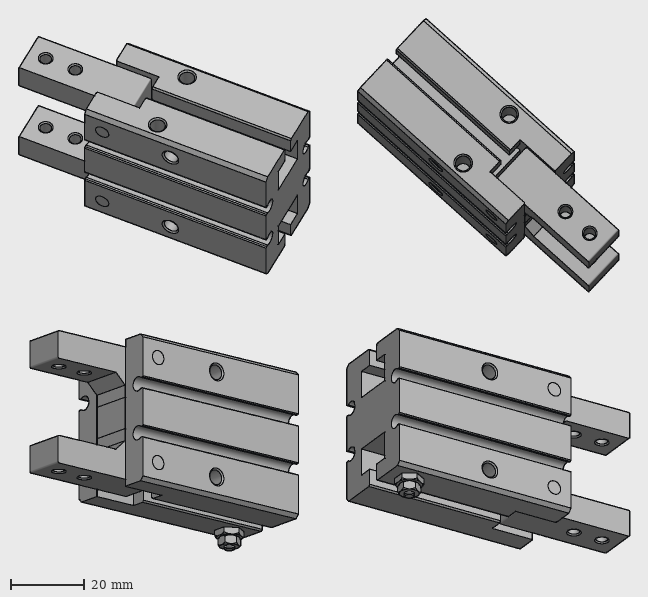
import cadquery as cq
import math

OVERALL_LENGTH = 78.7

BODY_LENGTH = 55.0
BODY_WIDTH = 27.6
BODY_HEIGHT = 42.0
BODY_CHAMFER = 1.1

RECESS_DEPTH = 13.0
RECESS_WIDTH = 12.1
RECESS_MOUTH_CHAMFER = 0.2

WEB_HEIGHT = 9.0

SLOT_WIDTH = 3.5
SLOT_CHAMFER = 0.5
SLOT_HEAD_WIDTH = RECESS_WIDTH
SLOT_HEAD_OUTER_Z = 15.9
SLOT_HEAD_INNER_Z = 7.9

GROOVE_DIAMETER = 4.0
GROOVE_Z = 7.0
GROOVE_INSET = 2.3
GROOVE_MOUTH = 3.55
GROOVE_NECK = 3.1
GROOVE_LIP = 0.4

PIVOT_X = 5.35
PIVOT_Z = 15.0
PIN_DIAMETER = 4.0

MOUNT_DRILL = 4.2
MOUNT_MOUTH = 5.0
SIDE_HOLE_X = 26.05
SIDE_HOLE_Z = PIVOT_Z
TOP_HOLE_X = 20.0
TOP_HOLE_Y = 9.3
TOP_HOLE_DEPTH = 10.0

JAW_TIP_X = BODY_LENGTH - OVERALL_LENGTH
JAW_REAR_X = 10.7
JAW_WIDTH = RECESS_WIDTH
FINGER_OUTER_Z = 19.0
FINGER_INNER_Z = 11.0
ROOT_INNER_Z = WEB_HEIGHT / 2
RAMP_LENGTH = 3.2
RAMP_HEIGHT = 3.1
JAW_FILLET = 0.5
JAW_DRILL = 3.2
JAW_MOUTH = 4.0
JAW_HOLES_FROM_TIP = (5.3, 14.25)

FITTING_X = 48.0
FITTING_Y = 7.5
BASE_HEX_FLATS = 7.1
BASE_HEX_HEIGHT = 1.9
NUT_FLATS = 5.5
NUT_HEIGHT = 2.6
HEX_CHAMFER = 0.5
TIP_DIAMETER = 3.0
TIP_HEIGHT = 0.9
TIP_CHAMFER = 0.3


def countersunk_hole(mouth_point, inward, drill, mouth, depth):
    """Round cutter that starts at mouth_point and widens to the mouth diameter there."""
    sink = (mouth - drill) / 2
    start = cq.Vector(*mouth_point)
    direction = cq.Vector(*inward)
    bore = cq.Solid.makeCylinder(drill / 2, depth, start, direction)
    cone = cq.Solid.makeCone(mouth / 2, drill / 2, sink, start, direction)
    return cq.Workplane(bore.fuse(cone))


def pivot_cylinder(z):
    """Cylinder across the full width: a pivot pin, or the bore that holds it."""
    return (
        cq.Workplane("XZ", origin=(PIVOT_X, BODY_WIDTH / 2, z))
        .circle(PIN_DIAMETER / 2)
        .extrude(BODY_WIDTH)
    )


def groove_cutter(side, z):
    """Round groove with a flared mouth, along the whole side wall."""
    face_y = side * BODY_WIDTH / 2
    center_y = face_y - side * GROOVE_INSET
    neck_y = face_y - side * GROOVE_LIP
    mouth = (
        cq.Workplane("YZ")
        .moveTo(face_y, z - GROOVE_MOUTH / 2)
        .lineTo(neck_y, z - GROOVE_NECK / 2)
        .lineTo(center_y, z - GROOVE_NECK / 2)
        .lineTo(center_y, z + GROOVE_NECK / 2)
        .lineTo(neck_y, z + GROOVE_NECK / 2)
        .lineTo(face_y, z + GROOVE_MOUTH / 2)
        .close()
        .extrude(BODY_LENGTH)
    )
    tube = cq.Workplane("YZ").center(center_y, z).circle(GROOVE_DIAMETER / 2).extrude(BODY_LENGTH)
    return mouth.union(tube)


def t_slot_cutter(end):
    """T-slot with chamfered edges in the top (end = 1) or bottom (end = -1) face."""
    face_z = end * BODY_HEIGHT / 2
    half = SLOT_WIDTH / 2
    head_half = SLOT_HEAD_WIDTH / 2
    chamfer_z = face_z - end * SLOT_CHAMFER
    outer_z = end * SLOT_HEAD_OUTER_Z
    inner_z = end * SLOT_HEAD_INNER_Z
    return (
        cq.Workplane("YZ")
        .moveTo(-half - SLOT_CHAMFER, face_z)
        .lineTo(-half, chamfer_z)
        .lineTo(-half, outer_z)
        .lineTo(-head_half, outer_z)
        .lineTo(-head_half, inner_z)
        .lineTo(head_half, inner_z)
        .lineTo(head_half, outer_z)
        .lineTo(half, outer_z)
        .lineTo(half, chamfer_z)
        .lineTo(half + SLOT_CHAMFER, face_z)
        .close()
        .extrude(BODY_LENGTH)
    )


def recess_cutter():
    """Full-height recess, widened by a chamfer along its two front edges."""
    half = RECESS_WIDTH / 2
    mouth_half = half + RECESS_MOUTH_CHAMFER
    return (
        cq.Workplane("XY", origin=(0, 0, -BODY_HEIGHT / 2))
        .moveTo(0, -mouth_half)
        .lineTo(RECESS_MOUTH_CHAMFER, -half)
        .lineTo(RECESS_DEPTH, -half)
        .lineTo(RECESS_DEPTH, half)
        .lineTo(RECESS_MOUTH_CHAMFER, half)
        .lineTo(0, mouth_half)
        .close()
        .extrude(BODY_HEIGHT)
    )


def make_web():
    """Block across the recess, flush with the front face and the rear of the jaws."""
    return cq.Workplane("XY").box(
        JAW_REAR_X, RECESS_WIDTH, WEB_HEIGHT, centered=(False, True, True)
    )


def hexagon(flats, height, top_z, turned_faces):
    """Hexagonal prism below top_z, with corners on Y that are turned conical at turned_faces."""
    corners = flats / math.cos(math.pi / 6)
    prism = (
        cq.Workplane("XY", origin=(FITTING_X, FITTING_Y, top_z))
        .transformed(rotate=(0, 0, 90))
        .polygon(6, corners)
        .extrude(-height)
    )
    turned = (
        cq.Workplane("XY", origin=(FITTING_X, FITTING_Y, top_z))
        .circle(corners / 2)
        .extrude(-height)
        .faces(turned_faces)
        .chamfer(HEX_CHAMFER)
    )
    return prism.intersect(turned)


def make_fitting():
    """Air fitting, one piece with the housing."""
    base_z = -BODY_HEIGHT / 2
    nut_z = base_z - BASE_HEX_HEIGHT
    tip_z = nut_z - NUT_HEIGHT
    tip = (
        cq.Workplane("XY", origin=(FITTING_X, FITTING_Y, tip_z))
        .circle(TIP_DIAMETER / 2)
        .extrude(-TIP_HEIGHT)
        .faces("<Z")
        .chamfer(TIP_CHAMFER)
    )
    base = hexagon(BASE_HEX_FLATS, BASE_HEX_HEIGHT, base_z, "<Z")
    nut = hexagon(NUT_FLATS, NUT_HEIGHT, nut_z, "|Z")
    return base.union(nut).union(tip)


def make_housing():
    """Block with its recess, slots, grooves, holes, web and fitting."""
    block = (
        cq.Workplane("XY")
        .box(BODY_LENGTH, BODY_WIDTH, BODY_HEIGHT, centered=(False, True, True))
        .edges("|X")
        .chamfer(BODY_CHAMFER)
    )
    block = block.cut(recess_cutter())
    side_hole_depth = (BODY_WIDTH - SLOT_HEAD_WIDTH) / 2
    for end in (1, -1):
        block = block.cut(t_slot_cutter(end))
        block = block.cut(pivot_cylinder(end * PIVOT_Z))
        for side in (1, -1):
            block = block.cut(groove_cutter(side, end * GROOVE_Z))
            side_hole = countersunk_hole(
                (SIDE_HOLE_X, side * BODY_WIDTH / 2, end * SIDE_HOLE_Z),
                (0, -side, 0),
                MOUNT_DRILL,
                MOUNT_MOUTH,
                side_hole_depth,
            )
            block = block.cut(side_hole)
    for side in (1, -1):
        top_hole = countersunk_hole(
            (TOP_HOLE_X, side * TOP_HOLE_Y, BODY_HEIGHT / 2),
            (0, 0, -1),
            MOUNT_DRILL,
            MOUNT_MOUTH,
            TOP_HOLE_DEPTH,
        )
        block = block.cut(top_hole)
    return block.union(make_web()).union(make_fitting())


def make_upper_jaw():
    """Jaw with its pivot pin, which reaches both side faces of the housing."""
    jaw = (
        cq.Workplane("XZ", origin=(0, JAW_WIDTH / 2, 0))
        .moveTo(JAW_TIP_X, FINGER_INNER_Z)
        .lineTo(JAW_TIP_X, FINGER_OUTER_Z)
        .lineTo(JAW_REAR_X, FINGER_OUTER_Z)
        .lineTo(JAW_REAR_X, ROOT_INNER_Z)
        .lineTo(0, ROOT_INNER_Z)
        .lineTo(0, FINGER_INNER_Z - RAMP_HEIGHT)
        .lineTo(-RAMP_LENGTH, FINGER_INNER_Z)
        .close()
        .extrude(JAW_WIDTH)
    )
    rear_outer_edge = cq.selectors.NearestToPointSelector((JAW_REAR_X, 0, FINGER_OUTER_Z))
    jaw = jaw.faces("<X").edges("|Y").fillet(JAW_FILLET).edges(rear_outer_edge).fillet(JAW_FILLET)
    jaw = jaw.union(pivot_cylinder(PIVOT_Z))
    finger_thickness = FINGER_OUTER_Z - FINGER_INNER_Z
    for distance in JAW_HOLES_FROM_TIP:
        for mouth_z, inward in ((FINGER_OUTER_Z, -1), (FINGER_INNER_Z, 1)):
            hole = countersunk_hole(
                (JAW_TIP_X + distance, 0, mouth_z),
                (0, 0, inward),
                JAW_DRILL,
                JAW_MOUTH,
                finger_thickness,
            )
            jaw = jaw.cut(hole)
    return jaw


housing = make_housing()
upper_jaw = make_upper_jaw()
jaws = [upper_jaw, upper_jaw.mirror("XY")]

result = cq.Compound.makeCompound([housing.val(), *[jaw.val() for jaw in jaws]])